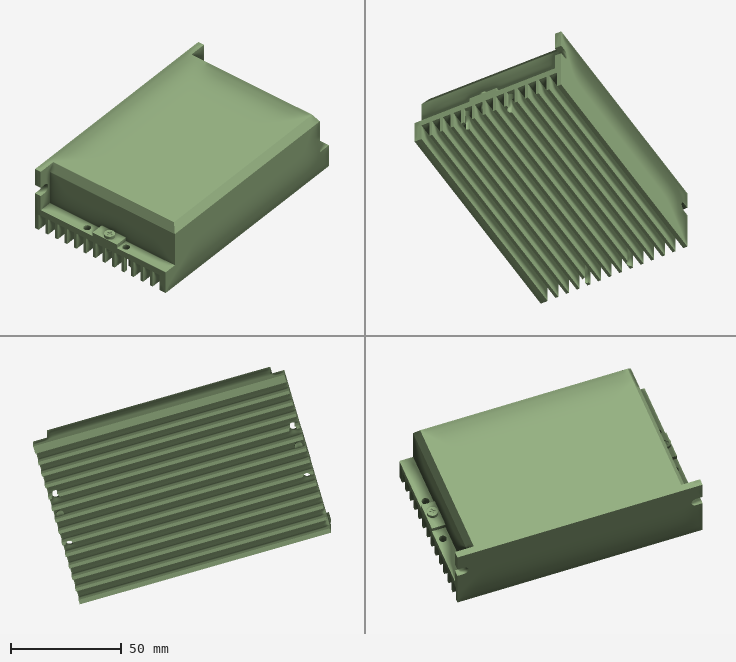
import cadquery as cq

LENGTH_X = 75.5
DEPTH_Y = 118.0
HEIGHT_Z = 34.0

WALL_THICKNESS = 3.3
WALL_SLOT_DEPTH = 5.3
WALL_SLOT_HEIGHT = 4.7
WALL_SLOT_Z = 22.4

FIN_HEIGHT = 8.6
FIN_SLOT_COUNT = 13
FIN_SLOT_WIDTH = 4.0
FIRST_FIN_THICKNESS = 2.1
LAST_FIN_THICKNESS = 3.5
LAST_SLOT_START = LENGTH_X - LAST_FIN_THICKNESS - FIN_SLOT_WIDTH
FIN_SLOT_PITCH = (LAST_SLOT_START - FIRST_FIN_THICKNESS) / (FIN_SLOT_COUNT - 1)

LEDGE_DEPTH = 6.6
LEDGE_Z = 11.9
PAD_START_X = 33.3
PAD_WIDTH = 14.0
PAD_HEIGHT = 2.0
PAD_Z = LEDGE_Z + PAD_HEIGHT

BEVEL_HEIGHT = 4.1
BEVEL_INSET = 2.5

MOUNT_HOLE_DIAMETER = 3.5
MOUNT_HOLE_X = (27.6, 50.2)
MOUNT_HOLE_INSET = 3.2

HEAD_DIAMETER = 5.1
HEAD_HEIGHT = 1.7
SHANK_DIAMETER = 3.5
SHANK_TIP_Z = 6.1
RECESS_SPAN = 3.0
RECESS_WIDTH = 0.7
RECESS_DEPTH = 0.5
FRONT_SCREW_XY = (41.0, 2.7)
BACK_SCREW_XY = (41.2, DEPTH_Y - 3.2)


def box(x, y, z, size_x, size_y, size_z):
    """Box with its lowest corner at (x, y, z)."""
    return cq.Workplane("XY").box(size_x, size_y, size_z, centered=False).translate((x, y, z))


def make_wall():
    """Full-depth wall with a round-bottomed slot opening at each end."""
    wall = box(0, 0, 0, WALL_THICKNESS, DEPTH_Y, HEIGHT_Z)
    for end_y in (0, DEPTH_Y):
        slot = (
            cq.Workplane("YZ")
            .center(end_y, WALL_SLOT_Z)
            .slot2D(2 * WALL_SLOT_DEPTH, WALL_SLOT_HEIGHT)
            .extrude(WALL_THICKNESS)
        )
        wall = wall.cut(slot)
    return wall


def make_cover():
    """Cover block whose three free upper edges are bevelled."""
    cover_depth = DEPTH_Y - 2 * LEDGE_DEPTH
    cover_length = LENGTH_X - WALL_THICKNESS
    bevel_z = HEIGHT_Z - BEVEL_HEIGHT
    lower = box(WALL_THICKNESS, LEDGE_DEPTH, LEDGE_Z, cover_length, cover_depth, bevel_z - LEDGE_Z)
    upper = (
        cq.Workplane("XY", origin=(WALL_THICKNESS, DEPTH_Y / 2, bevel_z))
        .center(cover_length / 2, 0)
        .rect(cover_length, cover_depth)
        .workplane(offset=BEVEL_HEIGHT)
        .center(-BEVEL_INSET / 2, 0)
        .rect(cover_length - BEVEL_INSET, cover_depth - 2 * BEVEL_INSET)
        .loft(ruled=True)
    )
    return lower.union(upper)


def make_heat_sink():
    """Mounting wall and base plate with fins below and a raised pad on each ledge."""
    heat_sink = box(0, 0, 0, LENGTH_X, DEPTH_Y, LEDGE_Z).union(make_wall())
    for index in range(FIN_SLOT_COUNT):
        slot_x = FIRST_FIN_THICKNESS + index * FIN_SLOT_PITCH
        heat_sink = heat_sink.cut(box(slot_x, 0, 0, FIN_SLOT_WIDTH, DEPTH_Y, FIN_HEIGHT))
    for pad_y in (0, DEPTH_Y - LEDGE_DEPTH):
        pad = box(PAD_START_X, pad_y, LEDGE_Z, PAD_WIDTH, LEDGE_DEPTH, PAD_HEIGHT)
        heat_sink = heat_sink.union(pad)
    return heat_sink


def make_mount_holes():
    """Cutters for the mounting holes, reaching down through the fins."""
    centers = [(x, y) for x in MOUNT_HOLE_X for y in (MOUNT_HOLE_INSET, DEPTH_Y - MOUNT_HOLE_INSET)]
    return (
        cq.Workplane("XY")
        .pushPoints(centers)
        .circle(MOUNT_HOLE_DIAMETER / 2)
        .extrude(PAD_Z)
    )


def make_shank(center_xy):
    """Screw shank from its tip up to the top of the pad; also cuts its matching hole."""
    return (
        cq.Workplane("XY", origin=(*center_xy, SHANK_TIP_Z))
        .circle(SHANK_DIAMETER / 2)
        .extrude(PAD_Z - SHANK_TIP_Z)
    )


def make_screw(center_xy):
    """Screw with a flat cylindrical head and a cross recess."""
    head = (
        cq.Workplane("XY", origin=(*center_xy, PAD_Z))
        .circle(HEAD_DIAMETER / 2)
        .extrude(HEAD_HEIGHT)
    )
    recess_plane = cq.Workplane("XY", origin=(*center_xy, PAD_Z + HEAD_HEIGHT))
    for span_x, span_y in ((RECESS_SPAN, RECESS_WIDTH), (RECESS_WIDTH, RECESS_SPAN)):
        head = head.cut(recess_plane.rect(span_x, span_y).extrude(-RECESS_DEPTH))
    return head.union(make_shank(center_xy))


def make_housing(screw_centers):
    """Heat sink and cover in one piece, with mounting and screw holes."""
    housing = make_heat_sink().union(make_cover()).cut(make_mount_holes())
    for center_xy in screw_centers:
        housing = housing.cut(make_shank(center_xy))
    return housing.clean()


screw_positions = [FRONT_SCREW_XY, BACK_SCREW_XY]
housing = make_housing(screw_positions)
screws = [make_screw(center_xy) for center_xy in screw_positions]

result = cq.Compound.makeCompound([*housing.solids().vals(), *(screw.solids().val() for screw in screws)])